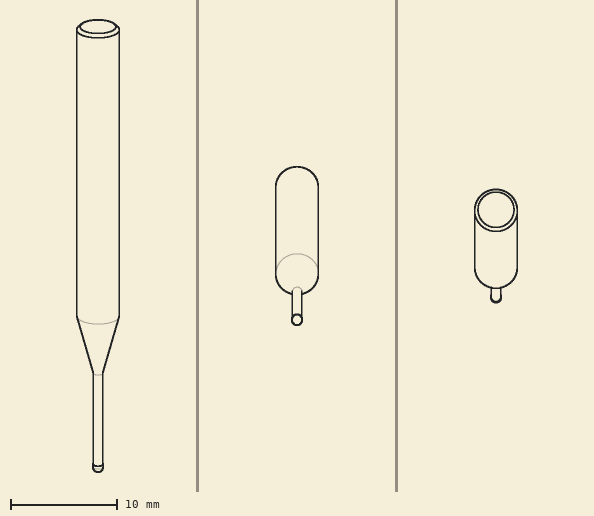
import cadquery as cq
import math

total_length = 45.0
shank_diameter = 4.0
shank_chamfer = 0.3
neck_diameter = 0.9
reach = 10.0
taper_half_angle = 15.0
cutter_diameter = 1.0
cutter_length = 0.75

shank_radius = shank_diameter / 2
neck_radius = neck_diameter / 2
cutter_radius = cutter_diameter / 2
tip_z = -total_length / 2
top_z = tip_z + total_length
cutter_top_z = tip_z + cutter_length
ball_center_z = tip_z + cutter_radius
neck_top_z = tip_z + reach
taper_length = (shank_radius - neck_radius) / math.tan(math.radians(taper_half_angle))
shank_bottom_z = neck_top_z + taper_length


def revolve_about_z(profile):
    """Turn a closed half profile, drawn in the XZ plane, around the Z axis."""
    return profile.revolve(360, (0, 0), (0, 1))


def make_shank():
    """Chamfered shank with its taper and slender neck."""
    profile = (
        cq.Workplane("XZ")
        .moveTo(0, cutter_top_z)
        .lineTo(neck_radius, cutter_top_z)
        .lineTo(neck_radius, neck_top_z)
        .lineTo(shank_radius, shank_bottom_z)
        .lineTo(shank_radius, top_z - shank_chamfer)
        .lineTo(shank_radius - shank_chamfer, top_z)
        .lineTo(0, top_z)
        .close()
    )
    return revolve_about_z(profile)


def make_cutter():
    """Short cylindrical cutter with a hemispherical nose, seated on the neck end."""
    arc_offset = cutter_radius * math.sqrt(0.5)
    profile = (
        cq.Workplane("XZ")
        .moveTo(0, tip_z)
        .threePointArc((arc_offset, ball_center_z - arc_offset), (cutter_radius, ball_center_z))
        .lineTo(cutter_radius, cutter_top_z)
        .lineTo(0, cutter_top_z)
        .close()
    )
    return revolve_about_z(profile)


shank = make_shank()
cutter = make_cutter()
result = cq.Compound.makeCompound([shank.val(), cutter.val()])